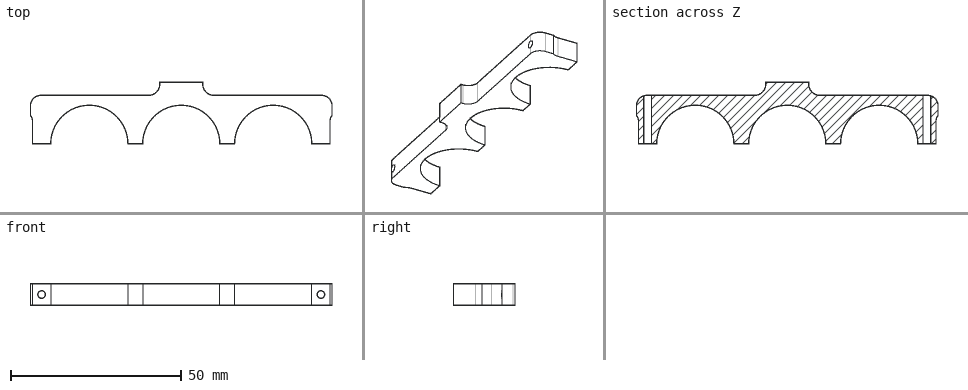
import cadquery as cq
import math

thickness = 6.35
total_width = 88.65
total_depth = 18.09
blend_radius = 3.175

saddle_count = 3
saddle_radius = 11.3
saddle_pitch = 27.0

tab_width = 12.7
tab_straight = 0.635

leg_relief = 0.635
relief_straight = 6.5

hole_diameter = 2.16

half_width = total_width / 2
leg_half_width = half_width - leg_relief
rear_y = total_depth - tab_straight - blend_radius
tab_half_width = tab_width / 2
relief_runout = math.sqrt(blend_radius**2 - (blend_radius - leg_relief) ** 2)
outer_saddle_x = saddle_pitch * (saddle_count - 1) / 2
hole_x = (outer_saddle_x + saddle_radius + leg_half_width) / 2
hole_z = thickness / 2


def arc_point(center_x, center_y, angle_degrees):
    """Point on a blend-radius circle at the given angle."""
    angle = math.radians(angle_degrees)
    return (center_x + blend_radius * math.cos(angle), center_y + blend_radius * math.sin(angle))


def half_plate():
    """Right half of the plate, bounded by the plane X = 0."""
    runout_angle = 180 - math.degrees(math.asin(relief_runout / blend_radius))
    runout_middle = arc_point(leg_half_width + blend_radius, relief_straight, (180 + runout_angle) / 2)
    corner_middle = arc_point(half_width - blend_radius, rear_y - blend_radius, 45)
    tab_middle = arc_point(tab_half_width + blend_radius, rear_y + blend_radius, 225)
    return (
        cq.Workplane("XY")
        .moveTo(0, 0)
        .lineTo(leg_half_width, 0)
        .lineTo(leg_half_width, relief_straight)
        .threePointArc(runout_middle, (half_width, relief_straight + relief_runout))
        .lineTo(half_width, rear_y - blend_radius)
        .threePointArc(corner_middle, (half_width - blend_radius, rear_y))
        .lineTo(tab_half_width + blend_radius, rear_y)
        .threePointArc(tab_middle, (tab_half_width, rear_y + blend_radius))
        .lineTo(tab_half_width, total_depth)
        .lineTo(0, total_depth)
        .close()
        .extrude(thickness)
    )


def plate():
    """Full plate, symmetric about X = 0."""
    half = half_plate()
    return half.union(half.mirror("YZ")).clean()


def saddle_cutters():
    """Cylinders that leave the row of semicircular saddles."""
    centers = [(i * saddle_pitch - outer_saddle_x, 0) for i in range(saddle_count)]
    return cq.Workplane("XY").pushPoints(centers).circle(saddle_radius).extrude(thickness)


def hole_cutters():
    """Cylinders for the two screw holes along Y."""
    centers = [(side * hole_x, hole_z) for side in (-1, 1)]
    return cq.Workplane("XZ").pushPoints(centers).circle(hole_diameter / 2).extrude(-total_depth)


result = plate().cut(saddle_cutters()).cut(hole_cutters())